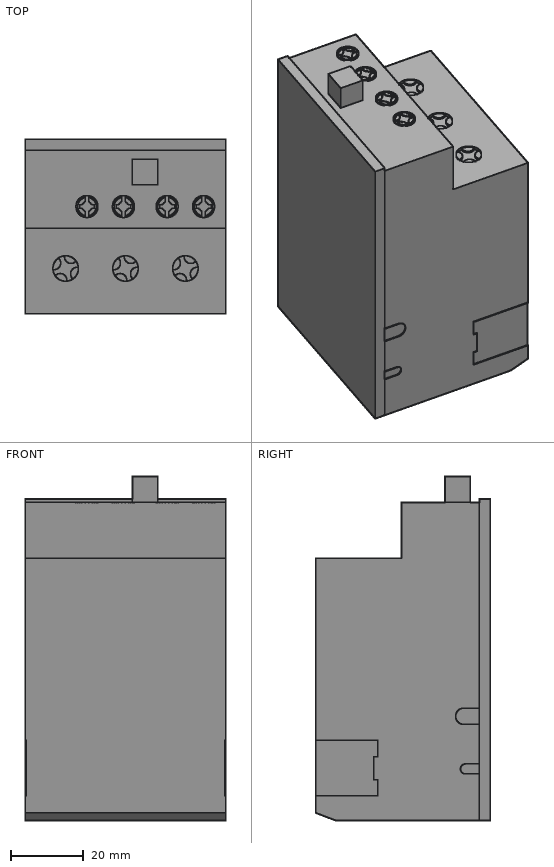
import cadquery as cq

width = 55.0
depth = 48.0
height = 94.4
half_width = width / 2
front_y = -depth / 2
back_y = depth / 2

plate_thickness = 3.0
plate_height = 88.3
plate_front_y = back_y - plate_thickness

housing_height = 87.3
step_height = 72.0
step_y = back_y - 24.45
bevel_length = 5.5
bevel_rise = 2.1

button_size = 7.0
button_x = 5.4
button_y = back_y - 9.0

side_recess_depth = 0.3
pocket_bottom = 6.8
pocket_top = 22.0
pocket_length = 17.0
tab_bottom = 11.1
tab_top = 17.6
tab_length = 1.0
side_slots = [
    (28.6, 4.4, 6.5),
    (14.2, 2.7, 5.2),
]

main_screw_diameter = 7.0
main_screw_count = 3
main_screw_spacing = 16.4
main_screw_y = back_y - 35.5
main_recess_depth = 0.4
star_depth = 0.5
star_lobe_count = 4
star_lobe_radius = 1.8
star_lobe_angle = 65.0

aux_screw_diameter = 6.0
aux_screw_xs = [-10.6, -0.6, 11.4, 21.4]
aux_screw_y = back_y - 18.5
aux_recess_depth = 0.3
aux_head_diameter = 5.1
aux_slot_width = 0.9
aux_cross_length = 4.1
aux_square_side = 2.6


def make_plate():
    return (
        cq.Workplane("XY")
        .box(width, plate_thickness, plate_height, centered=(True, False, False))
        .translate((0, plate_front_y, 0))
    )


def make_button():
    return (
        cq.Workplane("XY")
        .box(button_size, button_size, height - housing_height, centered=(True, True, False))
        .translate((button_x, button_y, housing_height))
    )


def make_housing_block():
    return (
        cq.Workplane("YZ")
        .moveTo(plate_front_y, 0)
        .lineTo(plate_front_y, housing_height)
        .lineTo(step_y, housing_height)
        .lineTo(step_y, step_height)
        .lineTo(front_y, step_height)
        .lineTo(front_y, bevel_rise)
        .lineTo(front_y + bevel_length, 0)
        .close()
        .extrude(half_width, both=True)
    )


def make_side_pocket(side_plane):
    pocket_back_y = front_y + pocket_length
    return (
        side_plane
        .moveTo(front_y, pocket_bottom)
        .lineTo(pocket_back_y, pocket_bottom)
        .lineTo(pocket_back_y, tab_bottom)
        .lineTo(pocket_back_y - tab_length, tab_bottom)
        .lineTo(pocket_back_y - tab_length, tab_top)
        .lineTo(pocket_back_y, tab_top)
        .lineTo(pocket_back_y, pocket_top)
        .lineTo(front_y, pocket_top)
        .close()
        .extrude(side_recess_depth)
    )


def make_side_slot(side_plane, centre_z, slot_width, slot_length):
    radius = slot_width / 2
    tip_y = plate_front_y - slot_length
    return (
        side_plane
        .moveTo(plate_front_y, centre_z - radius)
        .lineTo(tip_y + radius, centre_z - radius)
        .threePointArc((tip_y, centre_z), (tip_y + radius, centre_z + radius))
        .lineTo(plate_front_y, centre_z + radius)
        .close()
        .extrude(side_recess_depth)
    )


def cut_side_recesses(housing):
    for recess_start_x in (-half_width, half_width - side_recess_depth):
        side_plane = cq.Workplane("YZ", origin=(recess_start_x, 0, 0))
        housing = housing.cut(make_side_pocket(side_plane))
        for centre_z, slot_width, slot_length in side_slots:
            housing = housing.cut(make_side_slot(side_plane, centre_z, slot_width, slot_length))
    return housing


def make_main_recess():
    """Round recess with a star below it that leaves four round lobes standing, its top at z = 0."""
    rim_radius = main_screw_diameter / 2
    full_depth = main_recess_depth + star_depth
    recess = cq.Workplane("XY").circle(rim_radius).extrude(-full_depth)
    lobes = (
        cq.Workplane("XY", origin=(0, 0, -full_depth))
        .polarArray(rim_radius, star_lobe_angle, 360, star_lobe_count)
        .circle(star_lobe_radius)
        .extrude(star_depth)
    )
    return recess.cut(lobes)


def make_aux_recess():
    """Round recess with a slotted head left standing in it, its top at z = 0."""
    recess = cq.Workplane("XY").circle(aux_screw_diameter / 2).extrude(-aux_recess_depth)
    head = cq.Workplane("XY").circle(aux_head_diameter / 2).extrude(-aux_recess_depth)
    long_slot = cq.Workplane("XY").rect(aux_slot_width, aux_screw_diameter).extrude(-aux_recess_depth)
    cross_slot = cq.Workplane("XY").rect(aux_cross_length, aux_slot_width).extrude(-aux_recess_depth)
    square = (
        cq.Workplane("XY")
        .rect(aux_square_side, aux_square_side)
        .extrude(-aux_recess_depth)
        .rotate((0, 0, 0), (0, 0, 1), 45)
    )
    return recess.cut(head.cut(long_slot).cut(cross_slot).cut(square))


def cut_screws(housing):
    main_recess = make_main_recess()
    for index in range(main_screw_count):
        x = (index - (main_screw_count - 1) / 2) * main_screw_spacing
        housing = housing.cut(main_recess.translate((x, main_screw_y, step_height)))
    aux_recess = make_aux_recess()
    for x in aux_screw_xs:
        housing = housing.cut(aux_recess.translate((x, aux_screw_y, housing_height)))
    return housing


plate = make_plate()
button = make_button()
housing = cut_screws(cut_side_recesses(make_housing_block()))

result = cq.Compound.makeCompound([housing.val(), plate.val(), button.val()])